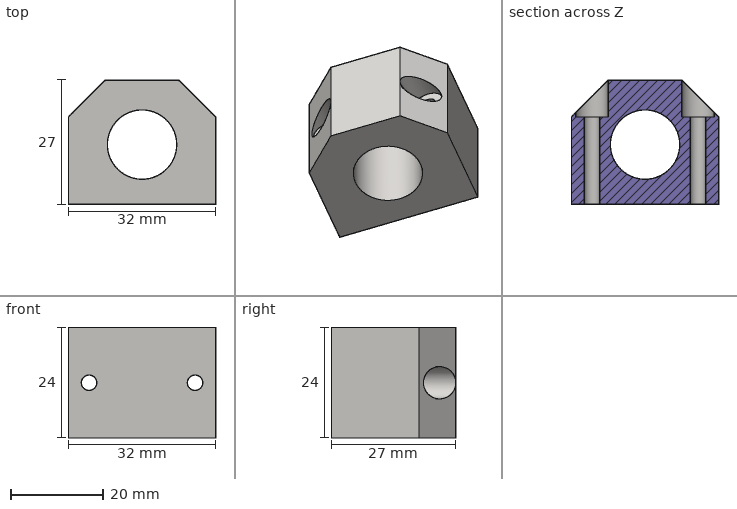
import cadquery as cq

width = 32.0
depth = 27.0
height = 24.0
corner_cut = 8.0

bore_diameter = 15.0
bore_offset = 13.0

screw_diameter = 3.3
screw_spacing = 23.0
head_diameter = 7.0
screw_x = screw_spacing / 2
seat_y = depth - corner_cut


def make_block():
    """Block with its lower side at Z = 0 and both back corners cut at 45 degrees."""
    block = cq.Workplane("XY").box(width, depth, height, centered=(True, False, False))
    return block.edges("|Z and >Y").chamfer(corner_cut)


def make_bore():
    return cq.Workplane("XY").center(0, bore_offset).circle(bore_diameter / 2).extrude(height)


def cylinder_along_y(diameter, x, start_y, end_y):
    """Cylinder at mid height running in +Y from start_y to end_y."""
    start = cq.Vector(x, start_y, height / 2)
    return cq.Solid.makeCylinder(diameter / 2, end_y - start_y, start, cq.Vector(0, 1, 0))


result = make_block().cut(make_bore())
for x in (-screw_x, screw_x):
    result = result.cut(cylinder_along_y(screw_diameter, x, 0, depth))
    result = result.cut(cylinder_along_y(head_diameter, x, seat_y, depth))